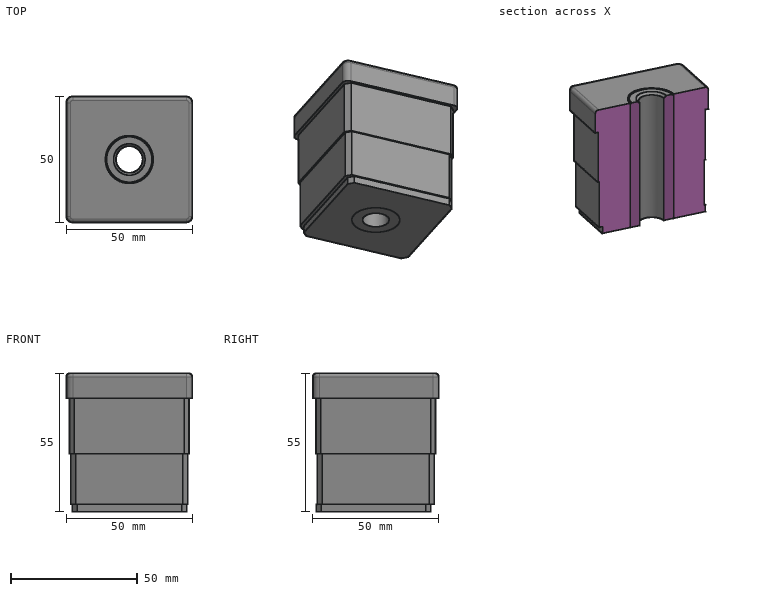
import cadquery as cq

base_height = 3.0
lower_height = 20.0
upper_height = 22.0
cap_height = 10.0
total_height = base_height + lower_height + upper_height + cap_height

cap_width = 50.0
upper_width = 47.5
lower_width = 46.5
corner_chamfer = 2.0

base_width_x = 45.5
base_width_y = 45.5
base_offset_x = 0.1
base_offset_y = -0.95

cap_corner_radius = 2.5
cap_top_radius = 1.5

bushing_diameter = 19.0
bushing_edge_chamfer = 0.5
bore_diameter = 10.5
bore_mouth_diameter = 12.5
bore_chamfer = (bore_mouth_diameter - bore_diameter) / 2


def chamfered_block(width_x, width_y, height, bottom_z, offset_x=0.0, offset_y=0.0):
    """Rectangular block on the Z axis with its four upright edges cut at 45 degrees."""
    return (
        cq.Workplane("XY", origin=(offset_x, offset_y, bottom_z))
        .rect(width_x, width_y)
        .extrude(height)
        .edges("|Z")
        .chamfer(corner_chamfer)
    )


def make_cap(bottom_z):
    """Square head with rounded corners and a rounded top rim."""
    return (
        cq.Workplane("XY", origin=(0, 0, bottom_z))
        .rect(cap_width, cap_width)
        .extrude(cap_height)
        .edges("|Z")
        .fillet(cap_corner_radius)
        .faces(">Z")
        .edges()
        .fillet(cap_top_radius)
    )


def make_plug():
    """Stepped square plug with a straight central hole for the bushing."""
    lower_z = base_height
    upper_z = lower_z + lower_height
    cap_z = upper_z + upper_height
    base = chamfered_block(base_width_x, base_width_y, base_height, 0, base_offset_x, base_offset_y)
    lower = chamfered_block(lower_width, lower_width, lower_height, lower_z)
    upper = chamfered_block(upper_width, upper_width, upper_height, upper_z)
    bushing_hole = cq.Workplane("XY").circle(bushing_diameter / 2).extrude(total_height)
    return base.union(lower).union(upper).union(make_cap(cap_z)).cut(bushing_hole)


def make_bushing():
    """Sleeve flush with the cap, chamfered at the top on its outer edge and its bore."""
    sleeve = (
        cq.Workplane("XY")
        .circle(bushing_diameter / 2)
        .extrude(total_height)
        .faces(">Z")
        .edges()
        .chamfer(bushing_edge_chamfer)
    )
    bore = cq.Workplane("XY").circle(bore_diameter / 2).extrude(total_height)
    bore_mouth = (
        cq.Workplane("XY", origin=(0, 0, total_height - bore_chamfer))
        .circle(bore_diameter / 2)
        .workplane(offset=bore_chamfer)
        .circle(bore_mouth_diameter / 2)
        .loft()
    )
    return sleeve.cut(bore).cut(bore_mouth)


plug = make_plug()
bushing = make_bushing()

result = cq.Compound.makeCompound([plug.val(), bushing.val()])